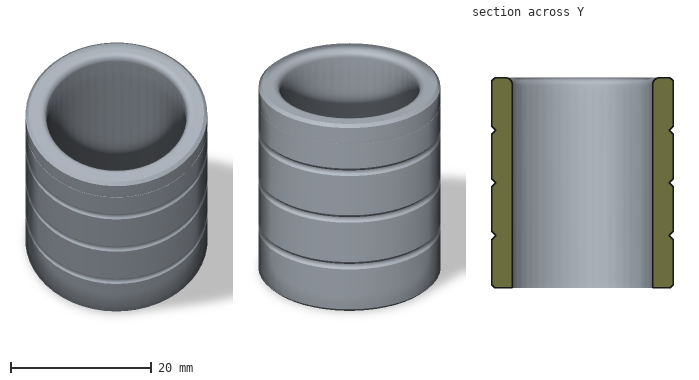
import cadquery as cq

height = 30.0
outer_diameter = 26.0
outer_radius = outer_diameter / 2
bore_radius = 10.0
bore_fillet = 1.0

collar_height = 3.0
collar_radius = 12.95

top_chamfer_width = 0.48
top_chamfer_height = 0.42
bottom_chamfer = 0.5

groove_count = 3
groove_pitch = height / (groove_count + 1)
groove_depth = 0.6
groove_half_width = 0.6


def sleeve_blank():
    """Revolve the stepped wall, with chamfered ends and a rounded bore mouth."""
    collar_base = height - collar_height
    fillet_offset = bore_fillet * (1 - 0.5 ** 0.5)
    profile = (
        cq.Workplane("XZ")
        .moveTo(bore_radius, 0)
        .lineTo(outer_radius - bottom_chamfer, 0)
        .lineTo(outer_radius, bottom_chamfer)
        .lineTo(outer_radius, collar_base)
        .lineTo(collar_radius, collar_base)
        .lineTo(collar_radius, height - top_chamfer_height)
        .lineTo(collar_radius - top_chamfer_width, height)
        .lineTo(bore_radius + bore_fillet, height)
        .threePointArc(
            (bore_radius + fillet_offset, height - fillet_offset),
            (bore_radius, height - bore_fillet),
        )
        .close()
    )
    return profile.revolve(360, (0, 0, 0), (0, 1, 0))


def groove_cutter(center_z):
    """Ring with a triangular section that cuts one V-groove."""
    section = (
        cq.Workplane("XZ")
        .moveTo(outer_radius - groove_depth, center_z)
        .lineTo(outer_radius, center_z - groove_half_width)
        .lineTo(outer_radius, center_z + groove_half_width)
        .close()
    )
    return section.revolve(360, (0, 0, 0), (0, 1, 0))


result = sleeve_blank()
for index in range(1, groove_count + 1):
    result = result.cut(groove_cutter(index * groove_pitch))